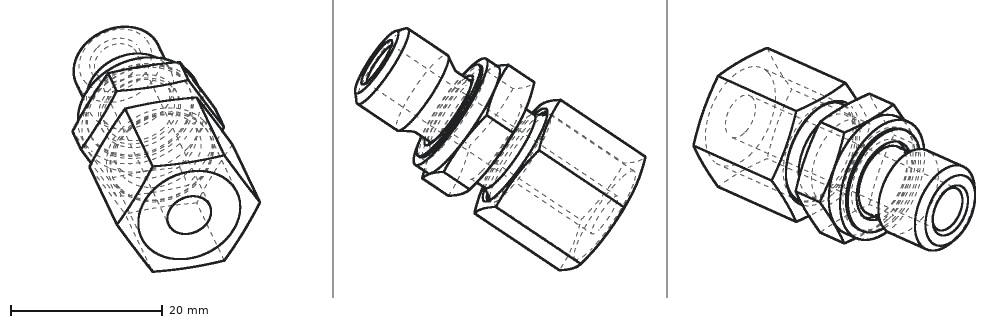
import cadquery as cq
import math


across_flats = 17.0
across_corners = across_flats / math.cos(math.radians(30))
corner_chamfer_angle = 15.0
corner_chamfer_radius = 8.45

flange_x = 12.0
hex_x = 14.0
hex_end_x = 18.98
nut_x = 22.45
end_x = 37.0

bore_radius = 3.0
bore_chamfer = 0.5

stud_radius = 6.0
stud_tip_radius = 4.95
stud_chamfer_length = 0.95
stud_end_x = 7.4
groove_radius = 4.85
runout_angle = 30.0
runout_fillet = 1.35

flange_radius = corner_chamfer_radius
seal_inner_radius = 5.5
seal_outer_radius = 7.25
seal_protrusion = 0.35
seal_recess_depth = 0.55

neck_radius = 5.85
neck_fillet = 0.55
neck_end_x = 21.57
neck_cone_end_radius = 6.62
nut_thread_radius = 7.0
nut_countersink = 0.37


def cone_length(radius_change):
    """Axial length of a run-out cone that spans the given change of radius."""
    return radius_change / math.tan(math.radians(runout_angle))


def ring(x_start, x_end, inner_radius, outer_radius):
    """Plain ring around the X axis."""
    return (
        cq.Workplane("YZ", origin=(x_start, 0, 0))
        .circle(outer_radius)
        .circle(inner_radius)
        .extrude(x_end - x_start)
    )


def revolve_about_x(profile):
    """Revolve a closed profile, drawn as (x, radius), about the X axis."""
    return profile.close().revolve(360, (0, 0, 0), (1, 0, 0))


def chamfered_hexagon(x_start, x_end):
    """Hexagonal prism with flats facing up and down and turned corners at both ends."""
    prism = (
        cq.Workplane("YZ", origin=(x_start, 0, 0))
        .polygon(6, across_corners)
        .extrude(x_end - x_start)
    )
    corner_radius = across_corners / 2
    setback = (corner_radius - corner_chamfer_radius) * math.tan(math.radians(corner_chamfer_angle))
    envelope = revolve_about_x(
        cq.Workplane("XY")
        .moveTo(x_start, 0)
        .lineTo(x_start, corner_chamfer_radius)
        .lineTo(x_start + setback, corner_radius)
        .lineTo(x_end - setback, corner_radius)
        .lineTo(x_end, corner_chamfer_radius)
        .lineTo(x_end, 0)
    )
    return prism.intersect(envelope)


def stud_and_flange():
    """Turned stud end with its groove, flaring into the floor of the seal recess."""
    slope = math.radians(runout_angle)
    fillet_start_radius = groove_radius + runout_fillet * (1 - math.cos(slope))
    fillet_start_x = stud_end_x + cone_length(stud_radius - fillet_start_radius)
    fillet_end_x = fillet_start_x + runout_fillet * math.sin(slope)
    fillet_mid_x = fillet_end_x - runout_fillet * math.sin(slope / 2)
    fillet_mid_radius = groove_radius + runout_fillet * (1 - math.cos(slope / 2))
    recess_floor_x = flange_x + seal_recess_depth
    flare = seal_inner_radius - groove_radius
    return revolve_about_x(
        cq.Workplane("XY")
        .moveTo(0, 0)
        .lineTo(0, stud_tip_radius)
        .lineTo(stud_chamfer_length, stud_radius)
        .lineTo(stud_end_x, stud_radius)
        .lineTo(fillet_start_x, fillet_start_radius)
        .threePointArc((fillet_mid_x, fillet_mid_radius), (fillet_end_x, groove_radius))
        .lineTo(recess_floor_x - flare, groove_radius)
        .lineTo(recess_floor_x, seal_inner_radius)
        .lineTo(recess_floor_x, seal_outer_radius)
        .lineTo(flange_x, seal_outer_radius)
        .lineTo(flange_x, flange_radius)
        .lineTo(hex_x, flange_radius)
        .lineTo(hex_x, 0)
    )


def neck_and_nut_thread():
    """Neck with a fillet against the hexagon and a cone up to the chamfered thread inside the nut."""
    cone_end_x = neck_end_x + cone_length(neck_cone_end_radius - neck_radius)
    thread_chamfer = nut_thread_radius - neck_cone_end_radius
    fillet_end_x = hex_end_x + neck_fillet
    arc_offset = neck_fillet * (1 - math.sqrt(0.5))
    return revolve_about_x(
        cq.Workplane("XY")
        .moveTo(hex_end_x, 0)
        .lineTo(hex_end_x, neck_radius + neck_fillet)
        .threePointArc(
            (hex_end_x + arc_offset, neck_radius + arc_offset),
            (fillet_end_x, neck_radius),
        )
        .lineTo(neck_end_x, neck_radius)
        .lineTo(cone_end_x, neck_cone_end_radius)
        .lineTo(cone_end_x + thread_chamfer, nut_thread_radius)
        .lineTo(end_x, nut_thread_radius)
        .lineTo(end_x, 0)
    )


def through_bore():
    """Cutter for the bore, with a chamfer at the stud tip."""
    return revolve_about_x(
        cq.Workplane("XY")
        .moveTo(0, 0)
        .lineTo(0, bore_radius + bore_chamfer)
        .lineTo(bore_chamfer, bore_radius)
        .lineTo(end_x, bore_radius)
        .lineTo(end_x, 0)
    )


def make_body():
    """Stud, flange, hexagon, neck and nut thread as one solid."""
    return (
        stud_and_flange()
        .union(chamfered_hexagon(hex_x, hex_end_x))
        .union(neck_and_nut_thread())
        .cut(through_bore())
    )


def make_seal_ring():
    """Flat ring seated in the flange recess and standing proud of its face."""
    return ring(
        flange_x - seal_protrusion,
        flange_x + seal_recess_depth,
        seal_inner_radius,
        seal_outer_radius,
    )


def make_nut():
    """Union nut with a plain threaded hole that is countersunk at its mouth."""
    thread_hole = revolve_about_x(
        cq.Workplane("XY")
        .moveTo(nut_x, 0)
        .lineTo(nut_x, nut_thread_radius + nut_countersink)
        .lineTo(nut_x + nut_countersink, nut_thread_radius)
        .lineTo(end_x, nut_thread_radius)
        .lineTo(end_x, 0)
    )
    return chamfered_hexagon(nut_x, end_x).cut(thread_hole)


body = make_body()
seal_ring = make_seal_ring()
nut = make_nut()

result = cq.Compound.makeCompound([body.val(), seal_ring.val(), nut.val()])